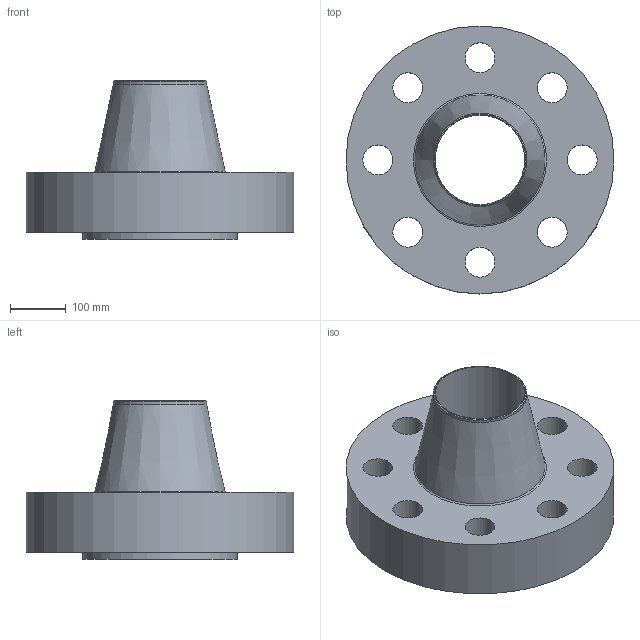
import cadquery as cq
import math

INCH = 25.4

FLANGE_DIAMETER = 19 * INCH
FLANGE_THICKNESS = 4.25 * INCH
FACE_DIAMETER = 11 * INCH
FACE_HEIGHT = 0.5 * INCH
TOTAL_HEIGHT = 11.25 * INCH

HUB_BASE_DIAMETER = 9.25 * INCH
HUB_FILLET_RADIUS = 3.0
PIPE_DIAMETER = 168.3
PIPE_WALL = 3.4
WELD_END_HEIGHT = 0.25 * INCH
WELD_LAND = 1.6
WELD_BEVEL_ANGLE = 37.5

BOLT_CIRCLE_DIAMETER = 14.5 * INCH
BOLT_HOLE_DIAMETER = 2.125 * INCH
BOLT_COUNT = 8

flange_bottom = FACE_HEIGHT
flange_top = flange_bottom + FLANGE_THICKNESS
pipe_radius = PIPE_DIAMETER / 2
bore_radius = pipe_radius - PIPE_WALL


def make_flange():
    """Raised face with the flange disc standing on it."""
    face = cq.Workplane("XY").circle(FACE_DIAMETER / 2).extrude(FACE_HEIGHT)
    disc = (
        cq.Workplane("XY", origin=(0, 0, flange_bottom))
        .circle(FLANGE_DIAMETER / 2)
        .extrude(FLANGE_THICKNESS)
    )
    return face.union(disc)


def make_hub():
    """Solid hub: a cone, a short straight end and the welding bevel."""
    bevel_width = PIPE_WALL - WELD_LAND
    bevel_height = bevel_width * math.tan(math.radians(WELD_BEVEL_ANGLE))
    return (
        cq.Workplane("XZ")
        .moveTo(0, flange_top)
        .lineTo(HUB_BASE_DIAMETER / 2, flange_top)
        .lineTo(pipe_radius, TOTAL_HEIGHT - WELD_END_HEIGHT)
        .lineTo(pipe_radius, TOTAL_HEIGHT - bevel_height)
        .lineTo(pipe_radius - bevel_width, TOTAL_HEIGHT)
        .lineTo(0, TOTAL_HEIGHT)
        .close()
        .revolve(360, (0, 0, 0), (0, 1, 0))
    )


def fillet_hub_foot(body):
    """Round the inner corner where the cone meets the flange."""
    reach = HUB_BASE_DIAMETER / 2 + HUB_FILLET_RADIUS
    foot = cq.selectors.BoxSelector(
        (-reach, -reach, flange_top - HUB_FILLET_RADIUS),
        (reach, reach, flange_top + HUB_FILLET_RADIUS),
        boundingbox=True,
    )
    return body.edges(foot).fillet(HUB_FILLET_RADIUS)


def cut_bore(body):
    """Straight bore through the whole part."""
    bore = cq.Workplane("XY").circle(bore_radius).extrude(TOTAL_HEIGHT)
    return body.cut(bore)


def cut_bolt_holes(body):
    """Ring of through holes, the first one on the +X axis."""
    holes = (
        cq.Workplane("XY", origin=(0, 0, flange_bottom))
        .polarArray(BOLT_CIRCLE_DIAMETER / 2, 0, 360, BOLT_COUNT)
        .circle(BOLT_HOLE_DIAMETER / 2)
        .extrude(FLANGE_THICKNESS)
    )
    return body.cut(holes)


part = make_flange().union(make_hub())
part = fillet_hub_foot(part)
part = cut_bore(part)
result = cut_bolt_holes(part)